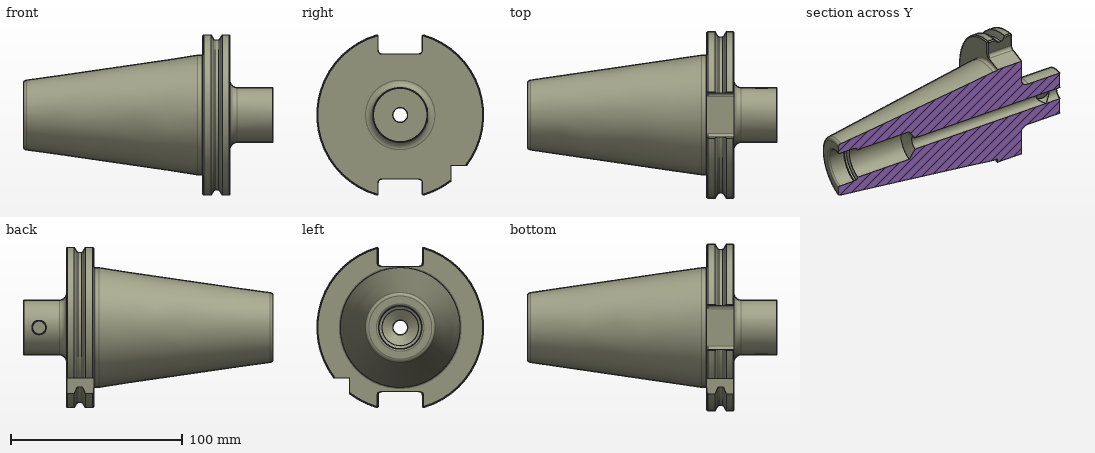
import cadquery as cq
import math

LENGTH = 145.7
SHANK_LENGTH = 101.7
SHANK_RADIUS = 35.0
TAPER_SLOPE = 7 / 48
SHANK_END_FILLET = 2.0
SHANK_ROOT_FILLET = 0.6

FLANGE_START = 104.6
FLANGE_END = 120.5
FLANGE_RADIUS = 48.7
FLANGE_REAR_CHAMFER = 0.9
FLANGE_FRONT_CHAMFER = 0.5
FLANGE_CHAMFER_HEIGHT = 0.6

GROOVE_CENTRE = 112.8
GROOVE_WIDTH = 6.5
GROOVE_DEPTH = 3.0
GROOVE_FLANK_ANGLE = 30.0
GROOVE_FILLET = 1.0

NOSE_RADIUS = 16.0
NOSE_FILLET = 4.2
NOSE_CHAMFER = 0.5

PILOT_RADIUS = 12.7
PILOT_DEPTH = 10.2
PILOT_MOUTH_FILLET = 1.2
COLLAR_RADIUS = 12.4
COLLAR_END = 11.8
COUNTERSINK_HALF_ANGLE = 60.0
THREAD_RADIUS = 10.6
THREAD_END = 46.6
DRILL_HALF_ANGLE = 59.0
BORE_RADIUS = 4.2

SLOT_HALF_WIDTH = 12.8
SLOT_FILLET = 2.0
SLOT_CHAMFER = 0.7
TOP_SLOT_FLOOR = 35.7
BOTTOM_SLOT_FLOOR = 37.5
NOTCH_Y = 29.7
NOTCH_Z = -29.6

SCREW_X = 136.5
SCREW_RADIUS = 4.2
SCREW_INNER_END = 5.1
SCREW_CHAMFER = 0.5

ARC_MIDPOINT = 1 - math.sqrt(0.5)

FLANGE_LENGTH = FLANGE_END - FLANGE_START
CUT_REACH = FLANGE_RADIUS + 2.9


def revolve_about_x(profile):
    return profile.close().revolve(360, (0, 0, 0), (1, 0, 0))


def make_turned_blank():
    shank_end_radius = SHANK_RADIUS - SHANK_LENGTH * TAPER_SLOPE
    rim_radius = FLANGE_RADIUS - FLANGE_CHAMFER_HEIGHT

    root_bend = SHANK_ROOT_FILLET * ARC_MIDPOINT
    shank = revolve_about_x(
        cq.Workplane("XY")
        .lineTo(0, shank_end_radius)
        .lineTo(SHANK_LENGTH, SHANK_RADIUS)
        .lineTo(FLANGE_START - SHANK_ROOT_FILLET, SHANK_RADIUS)
        .threePointArc(
            (FLANGE_START - root_bend, SHANK_RADIUS + root_bend),
            (FLANGE_START, SHANK_RADIUS + SHANK_ROOT_FILLET),
        )
        .lineTo(FLANGE_START, 0)
    ).faces("<X").edges().fillet(SHANK_END_FILLET)

    flange = revolve_about_x(
        cq.Workplane("XY")
        .moveTo(FLANGE_START, 0)
        .lineTo(FLANGE_START, rim_radius)
        .lineTo(FLANGE_START + FLANGE_REAR_CHAMFER, FLANGE_RADIUS)
        .lineTo(FLANGE_END - FLANGE_FRONT_CHAMFER, FLANGE_RADIUS)
        .lineTo(FLANGE_END, rim_radius)
        .lineTo(FLANGE_END, 0)
    )

    nose_bend = NOSE_FILLET * ARC_MIDPOINT
    nose = revolve_about_x(
        cq.Workplane("XY")
        .moveTo(FLANGE_END, 0)
        .lineTo(FLANGE_END, NOSE_RADIUS + NOSE_FILLET)
        .threePointArc(
            (FLANGE_END + nose_bend, NOSE_RADIUS + nose_bend),
            (FLANGE_END + NOSE_FILLET, NOSE_RADIUS),
        )
        .lineTo(LENGTH - NOSE_CHAMFER, NOSE_RADIUS)
        .lineTo(LENGTH, NOSE_RADIUS - NOSE_CHAMFER)
        .lineTo(LENGTH, 0)
    )
    return shank.union(flange).union(nose)


def make_gripper_groove():
    """V-shaped ring with a flat, rounded floor."""
    floor_radius = FLANGE_RADIUS - GROOVE_DEPTH
    flank_slope = math.tan(math.radians(GROOVE_FLANK_ANGLE))
    half_floor = GROOVE_WIDTH / 2 - GROOVE_DEPTH * flank_slope
    half_mouth = half_floor + (CUT_REACH - floor_radius) * flank_slope
    ring = revolve_about_x(
        cq.Workplane("XY")
        .moveTo(GROOVE_CENTRE - half_floor, floor_radius)
        .lineTo(GROOVE_CENTRE - half_mouth, CUT_REACH)
        .lineTo(GROOVE_CENTRE + half_mouth, CUT_REACH)
        .lineTo(GROOVE_CENTRE + half_floor, floor_radius)
    )
    floor_edges = cq.selectors.RadiusNthSelector(0)
    return ring.edges(floor_edges).fillet(GROOVE_FILLET)


def cone_length(wide_radius, narrow_radius, half_angle):
    return (wide_radius - narrow_radius) / math.tan(math.radians(half_angle))


def make_axial_bore():
    mouth_radius = PILOT_RADIUS + PILOT_MOUTH_FILLET
    mouth_bend = PILOT_MOUTH_FILLET * ARC_MIDPOINT
    step_length = PILOT_RADIUS - COLLAR_RADIUS
    thread_start = COLLAR_END + cone_length(COLLAR_RADIUS, THREAD_RADIUS, COUNTERSINK_HALF_ANGLE)
    bore_start = THREAD_END + cone_length(THREAD_RADIUS, BORE_RADIUS, DRILL_HALF_ANGLE)
    return revolve_about_x(
        cq.Workplane("XY")
        .lineTo(0, mouth_radius)
        .threePointArc((mouth_bend, PILOT_RADIUS + mouth_bend), (PILOT_MOUTH_FILLET, PILOT_RADIUS))
        .lineTo(PILOT_DEPTH, PILOT_RADIUS)
        .lineTo(PILOT_DEPTH + step_length, COLLAR_RADIUS)
        .lineTo(COLLAR_END, COLLAR_RADIUS)
        .lineTo(thread_start, THREAD_RADIUS)
        .lineTo(THREAD_END, THREAD_RADIUS)
        .lineTo(bore_start, BORE_RADIUS)
        .lineTo(LENGTH, BORE_RADIUS)
        .lineTo(LENGTH, 0)
    )


def sketch_slot(x, half_width, floor_height):
    """Slot outline at the given X: straight walls and a flat floor with rounded corners."""
    corner_bend = SLOT_FILLET * ARC_MIDPOINT
    wall_end = floor_height + SLOT_FILLET
    floor_end = half_width - SLOT_FILLET
    bend = (half_width - corner_bend, floor_height + corner_bend)
    return (
        cq.Workplane("YZ", origin=(x, 0, 0))
        .moveTo(-half_width, CUT_REACH)
        .lineTo(-half_width, wall_end)
        .threePointArc((-bend[0], bend[1]), (-floor_end, floor_height))
        .lineTo(floor_end, floor_height)
        .threePointArc(bend, (half_width, wall_end))
        .lineTo(half_width, CUT_REACH)
        .close()
    )


def make_drive_slot(floor_height):
    """Upward-opening slot through the flange, flared at its rear face and at the rim."""
    flared_half_width = SLOT_HALF_WIDTH + SLOT_CHAMFER
    channel = sketch_slot(FLANGE_START, SLOT_HALF_WIDTH, floor_height).extrude(FLANGE_LENGTH)
    flare_outlines = [
        sketch_slot(FLANGE_START, flared_half_width, floor_height),
        sketch_slot(FLANGE_START + SLOT_CHAMFER, SLOT_HALF_WIDTH, floor_height),
    ]
    rear_flare = cq.Workplane(
        cq.Solid.makeLoft([outline.val() for outline in flare_outlines], True)
    )
    rim_corner_z = math.sqrt(FLANGE_RADIUS**2 - flared_half_width**2)
    rim_flare_start = rim_corner_z - SLOT_CHAMFER
    mouth_half_width = SLOT_HALF_WIDTH + CUT_REACH - rim_flare_start
    rim_flare = (
        cq.Workplane("YZ", origin=(FLANGE_START, 0, 0))
        .moveTo(-SLOT_HALF_WIDTH, rim_flare_start)
        .lineTo(-mouth_half_width, CUT_REACH)
        .lineTo(mouth_half_width, CUT_REACH)
        .lineTo(SLOT_HALF_WIDTH, rim_flare_start)
        .close()
        .extrude(FLANGE_LENGTH)
    )
    return channel.union(rear_flare).union(rim_flare)


def make_orientation_notch():
    return (
        cq.Workplane("YZ", origin=(FLANGE_START, 0, 0))
        .moveTo(NOTCH_Y, NOTCH_Z)
        .lineTo(CUT_REACH, NOTCH_Z)
        .lineTo(CUT_REACH, -CUT_REACH)
        .lineTo(NOTCH_Y, -CUT_REACH)
        .close()
        .extrude(FLANGE_LENGTH)
    )


def make_radial_cylinder(start_y, end_y):
    """Cylinder of the screw's radius, running outward along +Y through the nose wall."""
    base = cq.Plane(origin=(SCREW_X, start_y, 0), xDir=(1, 0, 0), normal=(0, 1, 0))
    return cq.Workplane(base).circle(SCREW_RADIUS).extrude(end_y - start_y)


def make_holder():
    top_slot = make_drive_slot(TOP_SLOT_FLOOR)
    bottom_slot = make_drive_slot(BOTTOM_SLOT_FLOOR).rotate((0, 0, 0), (1, 0, 0), 180)
    return (
        make_turned_blank()
        .cut(make_gripper_groove())
        .cut(make_axial_bore())
        .cut(top_slot)
        .cut(bottom_slot)
        .cut(make_orientation_notch())
        .cut(make_radial_cylinder(0, CUT_REACH))
        .solids()
    )


def make_clamping_screw():
    """Plain set screw, its outer face level with the top of the nose."""
    blank = make_radial_cylinder(SCREW_INNER_END, NOSE_RADIUS)
    return blank.faces(">Y").chamfer(SCREW_CHAMFER).solids()


holder = make_holder()
clamping_screw = make_clamping_screw()

result = cq.Compound.makeCompound([holder.val(), clamping_screw.val()])